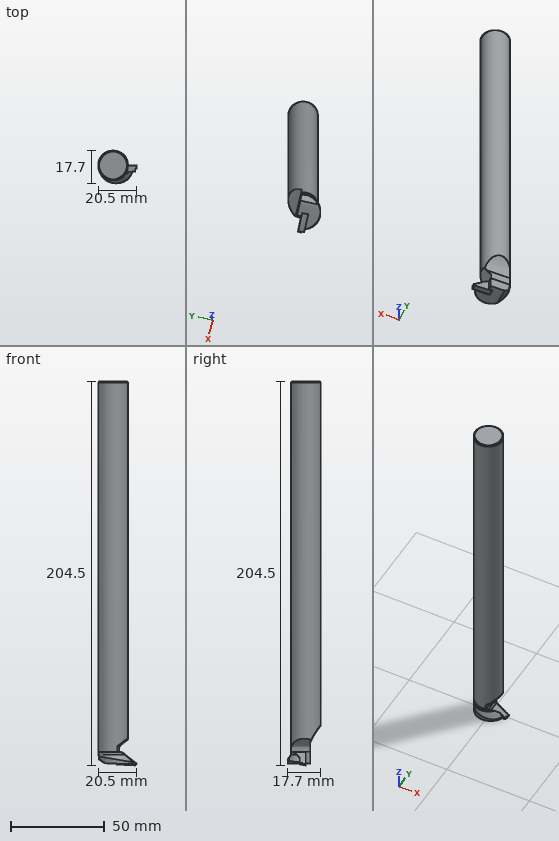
import cadquery as cq

TOTAL_LENGTH = 204.5
SHANK_RADIUS = 8.0
TOP_CHAMFER = 0.6
CUT_MARGIN = 20.5

JOINT_Z = 7.4
COLLAR_BOTTOM = 5.7
COLLAR_CHAMFER = 0.5

FLAT_Y = 2.5
FLAT_TOP = 12.7
RUNOUT_MID = (4.7, 16.8)
RUNOUT_TOP = 21.5

NOTCH_WALL_X = 3.0
NOTCH_CORNER_Z = 10.2
NOTCH_TOP = 14.3
NOTCH_RADIUS = 1.5
NOTCH_TURN = -6.0

SKIRT_RADIUS = 9.2
SKIRT_X = 1.6
SKIRT_Y = -0.5
SKIRT_RIM_Z = 3.3
SKIRT_TILT = 9.5
SKIRT_BOTTOM = 1.0

TIP_X = 12.5
TIP_CORNER_Z = 1.0
TIP_NOSE = 0.8
TIP_DEPTH = 3.3
TIP_STEP_DEPTH = 1.8
TIP_STEP = 0.6
TIP_RELIEF = 0.6
TIP_START_X = 1.8
RAKE_START_X = 3.7

HEAD_TOP_X = 3.7
HEAD_SHOULDER = (5.0, 7.0)
HEEL_TOP = 3.7
HEEL_BOTTOM = (-4.5, 1.2)


def through_y(points):
    """Prism with an XZ outline, running through the whole bar along Y."""
    return cq.Workplane("XZ").polyline(points).close().extrude(CUT_MARGIN, both=True)


def flat_cutter():
    """Material removed beside the flat, including its arc-shaped runout."""
    return (
        cq.Workplane("YZ")
        .moveTo(FLAT_Y, -CUT_MARGIN)
        .lineTo(FLAT_Y, FLAT_TOP)
        .threePointArc(RUNOUT_MID, (SHANK_RADIUS, RUNOUT_TOP))
        .lineTo(CUT_MARGIN, RUNOUT_TOP)
        .lineTo(CUT_MARGIN, -CUT_MARGIN)
        .close()
        .extrude(CUT_MARGIN, both=True)
    )


def notch_cutter():
    """Slightly turned chip notch with a sloping roof and a rounded corner."""
    roof_slope = (NOTCH_TOP - NOTCH_CORNER_Z) / (SHANK_RADIUS - NOTCH_WALL_X)
    roof_end_z = NOTCH_CORNER_Z + roof_slope * (CUT_MARGIN - NOTCH_WALL_X)
    notch = through_y([
        (NOTCH_WALL_X, 0),
        (NOTCH_WALL_X, NOTCH_CORNER_Z),
        (CUT_MARGIN, roof_end_z),
        (CUT_MARGIN, 0),
    ])
    corner = cq.selectors.NearestToPointSelector((NOTCH_WALL_X, 0, NOTCH_CORNER_Z))
    notch = notch.edges(corner).fillet(NOTCH_RADIUS)
    return notch.rotate((NOTCH_WALL_X, 0, 0), (NOTCH_WALL_X, 0, 1), NOTCH_TURN)


def make_shank():
    shank = (
        cq.Workplane("XY", origin=(0, 0, JOINT_Z))
        .circle(SHANK_RADIUS)
        .extrude(TOTAL_LENGTH - JOINT_Z)
        .faces(">Z")
        .chamfer(TOP_CHAMFER)
    )
    return shank.cut(flat_cutter()).cut(notch_cutter())


def head_blank():
    """Round collar, flaring into a larger off-centre rim."""
    collar = (
        cq.Workplane("XY", origin=(0, 0, COLLAR_BOTTOM))
        .circle(SHANK_RADIUS)
        .extrude(JOINT_Z - COLLAR_BOTTOM)
        .faces(">Z")
        .chamfer(COLLAR_CHAMFER)
    )
    rim_offset = cq.Vector(SKIRT_X, SKIRT_Y, SKIRT_RIM_Z - COLLAR_BOTTOM)
    tilt = cq.Vector(0, SKIRT_TILT, 0)
    flare = (
        cq.Workplane("XY", origin=(0, 0, COLLAR_BOTTOM))
        .circle(SHANK_RADIUS)
        .transformed(rotate=tilt, offset=rim_offset)
        .circle(SKIRT_RADIUS)
        .loft()
    )
    rim = (
        cq.Workplane("XY", origin=(SKIRT_X, SKIRT_Y, SKIRT_BOTTOM))
        .circle(SKIRT_RADIUS)
        .extrude(COLLAR_BOTTOM - SKIRT_BOTTOM)
    )
    above_rim = (
        cq.Workplane("XY", origin=(SKIRT_X, SKIRT_Y, SKIRT_RIM_Z))
        .transformed(rotate=tilt)
        .rect(2 * CUT_MARGIN, 2 * CUT_MARGIN)
        .extrude(CUT_MARGIN)
    )
    rim = rim.cut(above_rim)
    return collar.union(flare).union(rim)


def tip_block():
    """Block carrying the cutting point, stepped back on its -Y flank."""
    block = (
        cq.Workplane("XY")
        .polyline([
            (TIP_START_X, 0),
            (TIP_X, 0),
            (TIP_X, -TIP_STEP_DEPTH),
            (TIP_X - TIP_STEP, -TIP_STEP_DEPTH),
            (TIP_X - TIP_STEP, -TIP_DEPTH),
            (TIP_START_X, -TIP_DEPTH),
        ])
        .close()
        .extrude(JOINT_Z)
    )
    relief = (
        cq.Workplane("YZ")
        .polyline([(0, 0), (-TIP_DEPTH, TIP_RELIEF), (-TIP_DEPTH, 0)])
        .close()
        .extrude(CUT_MARGIN)
    )
    return block.cut(relief)


def make_head():
    heel_x, heel_z = HEEL_BOTTOM
    outline = through_y([
        (-SHANK_RADIUS, JOINT_Z),
        (HEAD_TOP_X, JOINT_Z),
        HEAD_SHOULDER,
        (TIP_X, TIP_CORNER_Z),
        (TIP_X - TIP_NOSE, 0),
        (TIP_START_X, SKIRT_BOTTOM / 2),
        (heel_x, heel_z),
        (-SHANK_RADIUS, HEEL_TOP),
    ])
    rake_cut = cq.Workplane("XY").box(
        CUT_MARGIN, CUT_MARGIN, CUT_MARGIN, centered=(False, False, True)
    ).translate((RAKE_START_X, 0, 0))
    head = head_blank().union(tip_block()).intersect(outline)
    return head.cut(flat_cutter()).cut(rake_cut)


shank = make_shank()
head = make_head()

result = cq.Compound.makeCompound([shank.solids().val(), head.solids().val()])